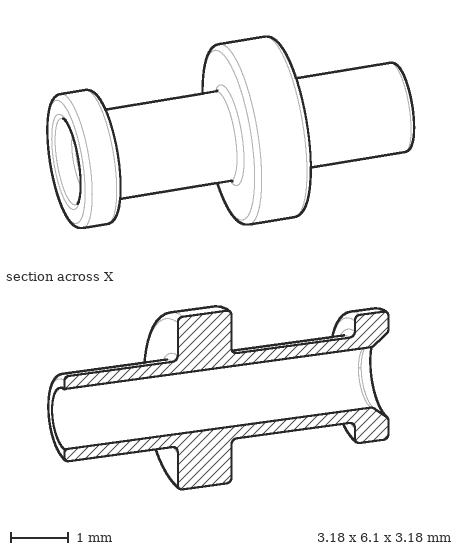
import cadquery as cq

length = 6.1
shaft_diameter = 1.575
collar_diameter = 3.18
head_diameter = 2.36

head_thickness = 0.64
collar_start = 2.95
collar_thickness = 1.02

bore_diameter = 1.1
mouth_diameter = 1.58
mouth_depth = 0.305
mouth_round = 0.1

rim_round = 0.1
root_round = 0.1
tail_round = 0.08


def disc(diameter, start, thickness):
    """Solid cylinder on the Y axis, growing towards +Y from start."""
    plane = cq.Workplane("XZ", origin=(0, start, 0))
    return plane.circle(diameter / 2).extrude(-thickness)


def flange(diameter, start, thickness):
    """Disc with both rims rounded."""
    return disc(diameter, start, thickness).edges("%CIRCLE").fillet(rim_round)


def root_fillet(face_position, direction):
    """Ring that blends the shaft into a flange face; direction points away from the face."""
    shaft_radius = shaft_diameter / 2
    outer_radius = shaft_radius + root_round
    shaft_tangent = face_position + direction * root_round
    corner_blend = root_round * (1 - 0.5**0.5)
    return (
        cq.Workplane("XY")
        .moveTo(0, face_position)
        .lineTo(outer_radius, face_position)
        .threePointArc(
            (shaft_radius + corner_blend, face_position + direction * corner_blend),
            (shaft_radius, shaft_tangent),
        )
        .lineTo(0, shaft_tangent)
        .close()
        .revolve(360, (0, 0, 0), (0, 1, 0))
    )


def bore():
    """Through hole with a conical mouth at the head face."""
    hole = disc(bore_diameter, 0, length)
    mouth = cq.Solid.makeCone(
        mouth_diameter / 2, bore_diameter / 2, mouth_depth, cq.Vector(0, 0, 0), cq.Vector(0, 1, 0)
    )
    return hole.union(cq.Workplane(mouth))


collar_end = collar_start + collar_thickness
shaft = disc(shaft_diameter, 0, length).faces(">Y").edges().fillet(tail_round)
body = shaft.union(flange(head_diameter, 0, head_thickness))
body = body.union(flange(collar_diameter, collar_start, collar_thickness))
for face_position, direction in ((head_thickness, 1), (collar_start, -1), (collar_end, 1)):
    body = body.union(root_fillet(face_position, direction))

mouth_faces = body.cut(bore()).faces("%CONE")
result = mouth_faces.edges("%CIRCLE").fillet(mouth_round)